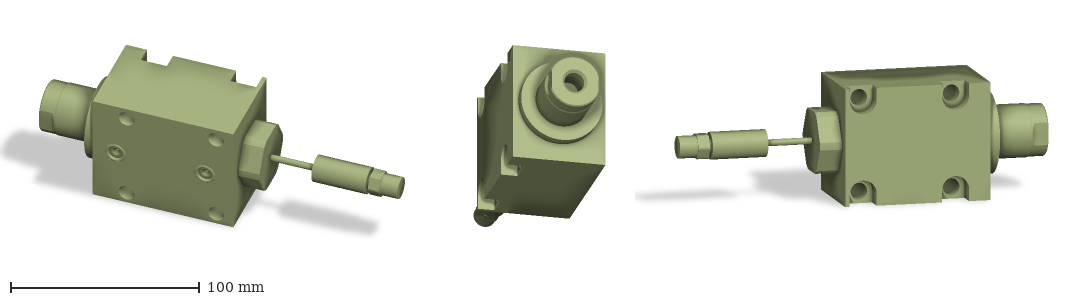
import cadquery as cq
import math


flat_end = 7.5
tip_end = 8.8
barrel_start = 9.8
flange_start = 29.0
block_start = 35.0
block_end = 114.5
gland_end = 126.5
sleeve_start = 151.8
sleeve_end = 182.2
nut_start = 183.5
nut_end = 190.0
total_length = 199.8

block_depth = 50.5
block_height = 63.5
front_face = -block_depth / 2
back_face = block_depth / 2

flange_diameter = 44.3
barrel_diameter = 28.8
tip_diameter = 28.2
tip_edge_chamfer = 0.5
flats_width = 25.4
bore_diameter = 10.8
bore_mouth_diameter = 13.5
bore_depth = 16

hole_diameter = 9.0
hole_pitch = 50.5
first_hole_x = 54.1
seat_width = 14.8
seat_depth = 9.2

first_port_x = 47.7
port_seat_diameter = 11.5
ring_mean_diameter = 9.8
ring_cord = 2
ring_proud = 0.4
ring_overlap = 0.2
port_mouth_diameter = 4.8
port_diameter = 2.8
port_depth = 12

gland_across_flats = 33.2
gland_corner_diameter = 36.2
cable_diameter = 3.5
sleeve_diameter = 14.8
neck_diameter = 8.8
nut_across_flats = 12.8
nut_corner_diameter = 14.2
plug_diameter = 12


def rod(diameter, start, end):
    """Round bar on the long axis between two X stations."""
    return cq.Workplane("YZ").workplane(offset=start).circle(diameter / 2).extrude(end - start)


def cone(start_diameter, end_diameter, start, end):
    """Truncated cone on the long axis between two X stations."""
    return (
        cq.Workplane("XY")
        .moveTo(start, 0)
        .lineTo(start, start_diameter / 2)
        .lineTo(end, end_diameter / 2)
        .lineTo(end, 0)
        .close()
        .revolve(360, (0, 0, 0), (1, 0, 0))
    )


def hexagon(across_flats, corner_diameter, start, end):
    """Hexagonal bar on the long axis, flats facing up and down, corners turned round."""
    sharp_diameter = across_flats / math.cos(math.pi / 6)
    sharp = (
        cq.Workplane("YZ").workplane(offset=start).polygon(6, sharp_diameter).extrude(end - start)
    )
    return sharp.intersect(rod(corner_diameter, start, end))


def front_drill(x, z, diameter, depth):
    """Cylinder that starts at the front face and goes into the block."""
    return (
        cq.Workplane("XZ", origin=(x, front_face, z)).circle(diameter / 2).extrude(-depth)
    )


def make_block():
    return cq.Workplane("XY").box(
        block_end - block_start, block_depth, block_height, centered=(False, True, True)
    ).translate((block_start, 0, 0))


def cut_mounting_holes(body):
    for x in (first_hole_x, first_hole_x + hole_pitch):
        for side in (-1, 1):
            z = side * hole_pitch / 2
            body = body.cut(front_drill(x, z, hole_diameter, block_depth))
            round_end = (
                cq.Workplane("XZ", origin=(x, back_face, z))
                .circle(seat_width / 2)
                .extrude(seat_depth)
            )
            open_end = (
                cq.Workplane("XZ", origin=(x, back_face, z + side * seat_width / 2))
                .rect(seat_width, seat_width)
                .extrude(seat_depth)
            )
            body = body.cut(round_end.union(open_end))
    return body


def add_ports(body):
    seat_floor_depth = ring_cord - ring_proud - ring_overlap
    ring_y = front_face - ring_proud + ring_cord / 2
    for x in (first_port_x, first_port_x + hole_pitch):
        body = body.cut(front_drill(x, 0, port_seat_diameter, seat_floor_depth))
        body = body.cut(front_drill(x, 0, port_diameter, port_depth))
        mouth = cq.Solid.makeCone(
            port_mouth_diameter / 2,
            port_diameter / 2,
            (port_mouth_diameter - port_diameter) / 2,
            cq.Vector(x, front_face + seat_floor_depth, 0),
            cq.Vector(0, 1, 0),
        )
        body = body.cut(cq.Workplane(obj=mouth))
        ring = cq.Solid.makeTorus(
            ring_mean_diameter / 2, ring_cord / 2, cq.Vector(x, ring_y, 0), cq.Vector(0, 1, 0)
        )
        body = body.union(cq.Workplane(obj=ring))
    return body


def make_flat_cutter(side):
    """Removes one wrench flat from the tip, running out along a 45 degree slope."""
    flat_y = flats_width / 2
    run_out = (barrel_diameter - flats_width) / 2
    return (
        cq.Workplane("XY")
        .moveTo(0, side * flat_y)
        .lineTo(flat_end, side * flat_y)
        .lineTo(flat_end + run_out, side * (flat_y + run_out))
        .lineTo(0, side * (flat_y + run_out))
        .close()
        .extrude(barrel_diameter / 2, both=True)
    )


def make_inlet():
    tip = rod(tip_diameter, 0, tip_end).faces("<X").chamfer(tip_edge_chamfer)
    body = (
        tip.union(cone(tip_diameter, barrel_diameter, tip_end, barrel_start))
        .union(rod(barrel_diameter, barrel_start, flange_start))
        .union(rod(flange_diameter, flange_start, block_start))
    )
    for side in (-1, 1):
        body = body.cut(make_flat_cutter(side))
    mouth_depth = (bore_mouth_diameter - bore_diameter) / 2
    body = body.cut(cone(bore_mouth_diameter, bore_diameter, 0, mouth_depth))
    return body.cut(rod(bore_diameter, 0, bore_depth))


def make_cable_and_plug():
    gland = hexagon(gland_across_flats, gland_corner_diameter, block_end, gland_end)
    nut = hexagon(nut_across_flats, nut_corner_diameter, nut_start, nut_end)
    return (
        gland.union(rod(cable_diameter, gland_end, sleeve_start))
        .union(rod(sleeve_diameter, sleeve_start, sleeve_end))
        .union(rod(neck_diameter, sleeve_end, nut_start))
        .union(nut)
        .union(rod(plug_diameter, nut_end, total_length))
    )


block = add_ports(cut_mounting_holes(make_block()))
result = block.union(make_inlet()).union(make_cable_and_plug())